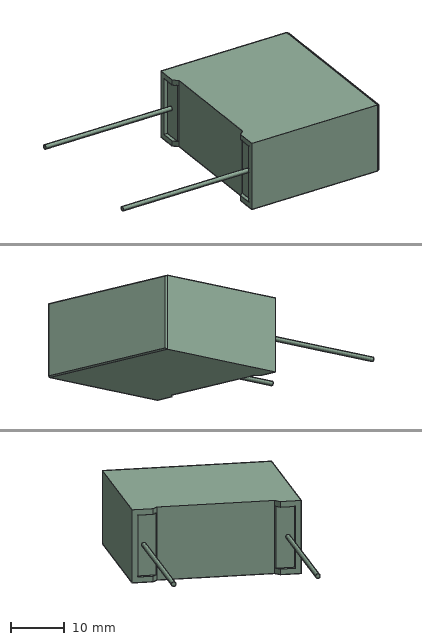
import cadquery as cq

case_width = 32.3
case_height = 14.2
total_length = 55.1
case_length = 28.1

wall = 1.1
foot_width = 4.0
slope_width = 0.9
foot_height = 1.0
rear_taper_length = 0.45
rear_taper_inset = 0.2

lead_pitch = 27.5
lead_diameter = 0.9
resin_depth = 0.75

half_width = case_width / 2
bridge_y = foot_height
taper_start = case_length - rear_taper_length
resin_y = resin_depth
core_y = bridge_y + wall
core_length = case_length - wall - core_y
inner_width = case_width - 2 * wall
inner_height = case_height - 2 * wall
slope_start = half_width - foot_width
slope_end = slope_start - slope_width

resin_inner_x = slope_start - slope_width * resin_depth / foot_height
window_width = half_width - wall - resin_inner_x
window_x = resin_inner_x + window_width / 2


def block(width, height, start_y, length, center_x=0):
    """Box centred in Z, running from start_y toward +Y."""
    return cq.Workplane("XY").box(width, length, height).translate((center_x, start_y + length / 2, 0))


def make_case_blank():
    """Solid outer shape with a foot at each side and a tapered rear."""
    outline = [
        (-half_width, 0),
        (-slope_start, 0),
        (-slope_end, bridge_y),
        (slope_end, bridge_y),
        (slope_start, 0),
        (half_width, 0),
        (half_width, taper_start),
        (-half_width, taper_start),
    ]
    blank = (
        cq.Workplane("XY")
        .workplane(offset=-case_height / 2)
        .polyline(outline)
        .close()
        .extrude(case_height)
    )
    rear_width = case_width - 2 * rear_taper_inset
    rear_height = case_height - 2 * rear_taper_inset
    rear = (
        cq.Workplane("XZ", origin=(0, taper_start, 0))
        .rect(case_width, case_height)
        .workplane(offset=-rear_taper_length)
        .rect(rear_width, rear_height)
        .loft(ruled=True)
    )
    return blank.union(rear)


def make_resin():
    """Core inside the case, with a pad rising into each foot."""
    resin = block(inner_width, inner_height, core_y, core_length)
    for side in (-1, 1):
        pad = block(window_width, inner_height, resin_y, core_y - resin_y, side * window_x)
        resin = resin.union(pad)
    return resin


def make_case(resin):
    """Bridged case, hollowed to hold the resin and open above each pad."""
    case = make_case_blank().cut(resin)
    for side in (-1, 1):
        recess = block(window_width, inner_height, 0, resin_y, side * window_x)
        case = case.cut(recess)
    return case


def make_lead(center_x):
    """Straight round wire standing on the resin surface."""
    lead_length = total_length - case_length + resin_depth
    return (
        cq.Workplane("XZ", origin=(center_x, resin_y, 0))
        .circle(lead_diameter / 2)
        .extrude(lead_length)
    )


resin = make_resin()
case = make_case(resin)
leads = [make_lead(side * lead_pitch / 2) for side in (-1, 1)]

result = cq.Compound.makeCompound([case.val(), resin.val(), *[lead.val() for lead in leads]])